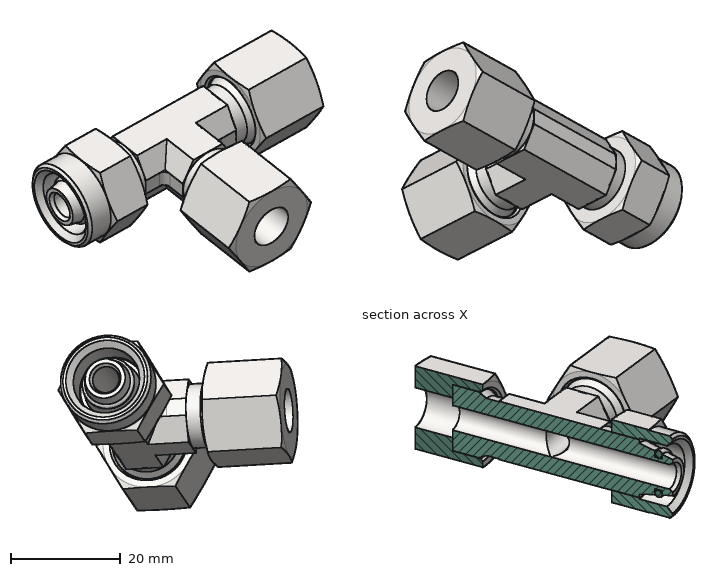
import cadquery as cq
import math


NUT_ACROSS_FLATS = 17.0
NUT_CHAMFER_DROP = 0.4

BODY_WIDTH = 12.0
ARM_END = 11.0
NOSE_ARM_END = 10.6
CORNER_RADIUS = 1.4
BORE_RADIUS = 2.5

NECK_RADIUS = 5.9
NECK_END = 13.65
THREAD_RADIUS = 6.85
THREAD_START = 15.45
SPIGOT_END = 21.0

NUT_START = 14.5
NUT_END = 29.0
NUT_COUNTERSINK = 0.45
TUBE_HOLE_RADIUS = 4.0

STEM_RADIUS = 6.0
NOSE_TIP = 26.1
NOSE_TIP_RADIUS = 3.75
NOSE_LENGTH = 7.15
NOSE_HALF_ANGLE = math.radians(12)
NOSE_BORE_CHAMFER_RADIUS = 2.9
NOSE_BORE_CHAMFER_DEPTH = 0.75
STEM_END = NOSE_TIP - NOSE_LENGTH

RING_OUTER_RADIUS = 4.85
RING_SECTION_RADIUS = 0.75
GROOVE_OFFSET = 2.3
GROOVE_NEAR = NOSE_TIP - GROOVE_OFFSET
RING_CENTER = GROOVE_NEAR - RING_SECTION_RADIUS
GROOVE_FAR = RING_CENTER - RING_SECTION_RADIUS
GROOVE_RADIUS = RING_OUTER_RADIUS - 2 * RING_SECTION_RADIUS

SWIVEL_START = 13.0
SWIVEL_HEX_END = 21.0
SWIVEL_END = 26.0
COLLAR_RADIUS = 8.45
COLLAR_CHAMFER = 0.55
SWIVEL_BORE_RADIUS = 6.15
SWIVEL_COUNTERSINK = 1.15

Z_AXIS = ((0, 0, 0), (0, 0, 1))


def revolve_profile(points):
    """Solid of revolution about Z from (radius, height) points."""
    return cq.Workplane("XZ").polyline(points).close().revolve(360, (0, 0), (0, 1))


def cylinder(radius, start, end):
    return cq.Workplane("XY").workplane(offset=start).circle(radius).extrude(end - start)


def to_plus_y(arm):
    return arm.rotate((0, 0, 0), (1, 0, 0), -90)


def to_minus_y(arm):
    return arm.rotate((0, 0, 0), (1, 0, 0), 90)


def to_plus_x(arm):
    return to_plus_y(arm).rotate(*Z_AXIS, -90)


def hex_bar(across_flats, start, end):
    """Hexagonal bar along Z with two corners on the X axis."""
    corner_diameter = across_flats / math.cos(math.pi / 6)
    return cq.Workplane("XY").workplane(offset=start).polygon(6, corner_diameter).extrude(end - start)


def chamfered_hex(start, end):
    """Nut hexagon with conical chamfers that leave a round face at both ends."""
    face_radius = NUT_ACROSS_FLATS / 2
    corner_radius = face_radius / math.cos(math.pi / 6)
    envelope = revolve_profile([
        (0, start),
        (face_radius, start),
        (corner_radius, start + NUT_CHAMFER_DROP),
        (corner_radius, end - NUT_CHAMFER_DROP),
        (face_radius, end),
        (0, end),
    ])
    return hex_bar(NUT_ACROSS_FLATS, start, end).intersect(envelope)


def body_bar(start, end):
    """Hexagonal bar whose two side corners are trimmed to flats."""
    trim = cq.Workplane("XY").box(BODY_WIDTH, 2 * BODY_WIDTH, 4 * ARM_END)
    return hex_bar(BODY_WIDTH, start, end).intersect(trim)


def corner_fillet():
    """Concave web between the side flats of the +Y arm and the branch."""
    half_width = BODY_WIDTH / 2
    corner_half_width = half_width / math.cos(math.pi / 6)
    flat_half_height = (corner_half_width - half_width) * math.tan(math.pi / 3)
    tangent = half_width + CORNER_RADIUS
    arc_offset = CORNER_RADIUS * (1 - math.cos(math.pi / 4))
    return (
        cq.Workplane("XY").workplane(offset=-flat_half_height)
        .moveTo(half_width, half_width)
        .lineTo(tangent, half_width)
        .threePointArc((half_width + arc_offset, half_width + arc_offset), (half_width, tangent))
        .close()
        .extrude(2 * flat_half_height)
    )


def spigot():
    """Neck, thread run-out cone and thread that carry a tube nut."""
    return revolve_profile([
        (0, 0),
        (NECK_RADIUS, 0),
        (NECK_RADIUS, NECK_END),
        (THREAD_RADIUS, THREAD_START),
        (THREAD_RADIUS, SPIGOT_END),
        (0, SPIGOT_END),
    ])


def cone_nose():
    """Stem and 24 degree cone with the O-ring groove."""
    def cone_radius(height):
        return NOSE_TIP_RADIUS + (NOSE_TIP - height) * math.tan(NOSE_HALF_ANGLE)

    return revolve_profile([
        (0, 0),
        (STEM_RADIUS, 0),
        (STEM_RADIUS, STEM_END),
        (cone_radius(STEM_END), STEM_END),
        (cone_radius(GROOVE_FAR), GROOVE_FAR),
        (GROOVE_RADIUS, GROOVE_FAR),
        (GROOVE_RADIUS, GROOVE_NEAR),
        (cone_radius(GROOVE_NEAR), GROOVE_NEAR),
        (NOSE_TIP_RADIUS, NOSE_TIP),
        (0, NOSE_TIP),
    ])


def nose_bore():
    """Run bore on the -Y side, widening at the nose tip."""
    return revolve_profile([
        (0, 0),
        (BORE_RADIUS, 0),
        (BORE_RADIUS, NOSE_TIP - NOSE_BORE_CHAMFER_DEPTH),
        (NOSE_BORE_CHAMFER_RADIUS, NOSE_TIP),
        (0, NOSE_TIP),
    ])


def make_tee():
    run = to_plus_y(body_bar(-NOSE_ARM_END, ARM_END))
    branch = to_plus_x(body_bar(0, ARM_END))
    fillet = corner_fillet()
    tee = run.union(branch).union(fillet).union(fillet.mirror("XZ"))
    tee = tee.union(to_plus_y(spigot())).union(to_plus_x(spigot())).union(to_minus_y(cone_nose()))
    spigot_bore = cylinder(BORE_RADIUS, 0, SPIGOT_END)
    return tee.cut(to_plus_y(spigot_bore)).cut(to_plus_x(spigot_bore)).cut(to_minus_y(nose_bore()))


def make_tube_nut():
    """Nut with a threaded socket for the spigot and a smaller hole for the tube."""
    hole = revolve_profile([
        (0, NUT_START),
        (THREAD_RADIUS + NUT_COUNTERSINK, NUT_START),
        (THREAD_RADIUS, NUT_START + NUT_COUNTERSINK),
        (THREAD_RADIUS, SPIGOT_END),
        (TUBE_HOLE_RADIUS, SPIGOT_END),
        (TUBE_HOLE_RADIUS, NUT_END),
        (0, NUT_END),
    ])
    return chamfered_hex(NUT_START, NUT_END).cut(hole)


def make_swivel_nut():
    """Nut with a round collar, open towards the nose tip."""
    collar = cylinder(COLLAR_RADIUS, SWIVEL_HEX_END, SWIVEL_END).faces(">Z").chamfer(COLLAR_CHAMFER)
    hole = revolve_profile([
        (0, SWIVEL_START),
        (STEM_RADIUS, SWIVEL_START),
        (STEM_RADIUS, STEM_END),
        (SWIVEL_BORE_RADIUS, STEM_END),
        (SWIVEL_BORE_RADIUS, SWIVEL_END - SWIVEL_COUNTERSINK),
        (SWIVEL_BORE_RADIUS + SWIVEL_COUNTERSINK, SWIVEL_END),
        (0, SWIVEL_END),
    ])
    return to_minus_y(chamfered_hex(SWIVEL_START, SWIVEL_HEX_END).union(collar).cut(hole))


def make_o_ring():
    ring_radius = RING_OUTER_RADIUS - RING_SECTION_RADIUS
    ring = (
        cq.Workplane("XZ")
        .center(ring_radius, RING_CENTER)
        .circle(RING_SECTION_RADIUS)
        .revolve(360, (-ring_radius, 0), (-ring_radius, 1))
    )
    return to_minus_y(ring)


tee = make_tee()
tube_nuts = [place(make_tube_nut()) for place in (to_plus_y, to_plus_x)]
swivel_nut = make_swivel_nut()
o_ring = make_o_ring()

result = cq.Compound.makeCompound([
    tee.val(),
    *[nut.val() for nut in tube_nuts],
    swivel_nut.val(),
    o_ring.val(),
])